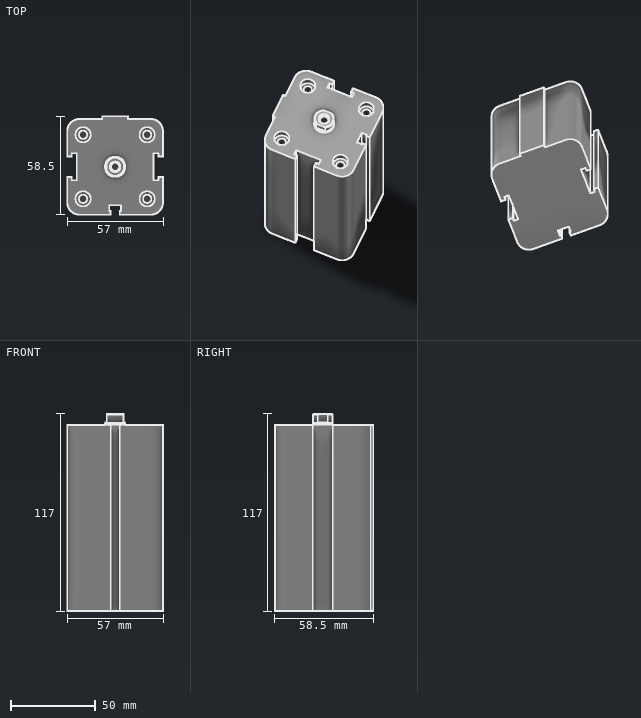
import cadquery as cq

width = 57.0
housing_height = 110.5
overall_height = 117.0
corner_radius = 7.5

rib_width = 15.3
rib_height = 1.5

side_mouth_width = 12.0
side_slot_width = 15.9
side_lip = 2.8
side_slot_depth = 5.6

front_mouth_width = 5.3
front_slot_width = 6.9
front_lip = 2.3
front_slot_depth = 5.6

hole_pitch = 38.0
counterbore_diameter = 9.0
counterbore_depth = 5.4
hole_diameter = 4.9
hole_depth = 14.4

rod_diameter = 12.0
rod_insertion = 14.4
collar_height = 0.7
collar_taper_height = 0.5
tip_diameter = 11.7
tip_flats = 10.1
flats_start = 1.5
tip_chamfer = 0.5
bore_diameter = 4.9
bore_depth = 11.7
bore_recess_diameter = 6.3
bore_recess_depth = 2.1


def t_slot(mouth_width, slot_width, lip, depth):
    """Full-height T-slot cutter that opens through the -Y side."""
    mouth = cq.Workplane("XY").box(mouth_width, depth, housing_height, centered=(True, False, False))
    undercut = (
        cq.Workplane("XY")
        .box(slot_width, depth - lip, housing_height, centered=(True, False, False))
        .translate((0, lip, 0))
    )
    return mouth.union(undercut).translate((0, -width / 2, 0))


def make_housing():
    block = (
        cq.Workplane("XY")
        .box(width, width, housing_height, centered=(True, True, False))
        .edges("|Z")
        .fillet(corner_radius)
    )
    rib = cq.Workplane("XY").box(
        rib_width, width / 2 + rib_height, housing_height, centered=(True, False, False)
    )
    housing = block.union(rib)

    housing = housing.cut(t_slot(front_mouth_width, front_slot_width, front_lip, front_slot_depth))
    side_slot = t_slot(side_mouth_width, side_slot_width, side_lip, side_slot_depth)
    for angle in (-90, 90):
        housing = housing.cut(side_slot.rotate((0, 0, 0), (0, 0, 1), angle))

    housing = (
        housing.faces(">Z")
        .workplane(origin=(0, 0, housing_height))
        .rarray(hole_pitch, hole_pitch, 2, 2)
        .cboreHole(hole_diameter, counterbore_diameter, counterbore_depth, hole_depth)
    )

    return (
        housing.faces(">Z")
        .workplane(origin=(0, 0, housing_height))
        .hole(rod_diameter, rod_insertion)
    )


def make_rod():
    collar_top = housing_height + collar_height
    rod_radius = rod_diameter / 2
    tip_radius = tip_diameter / 2
    rod = (
        cq.Workplane("XZ")
        .moveTo(0, housing_height - rod_insertion)
        .lineTo(rod_radius, housing_height - rod_insertion)
        .lineTo(rod_radius, collar_top)
        .lineTo(tip_radius, collar_top + collar_taper_height)
        .lineTo(tip_radius, overall_height - tip_chamfer)
        .lineTo(tip_radius - tip_chamfer, overall_height)
        .lineTo(0, overall_height)
        .close()
        .revolve(360, (0, 0), (0, 1))
    )

    flats_bottom = housing_height + flats_start
    for side in (-1, 1):
        flat = cq.Workplane("XY").box(
            rod_diameter, rod_diameter, overall_height - flats_bottom, centered=(True, True, False)
        )
        rod = rod.cut(flat.translate((side * (tip_flats + rod_diameter) / 2, 0, flats_bottom)))

    return (
        rod.faces(">Z")
        .workplane(origin=(0, 0, overall_height))
        .cboreHole(bore_diameter, bore_recess_diameter, bore_recess_depth, bore_depth)
    )


housing = make_housing()
rod = make_rod()

result = cq.Compound.makeCompound([housing.val(), rod.val()])